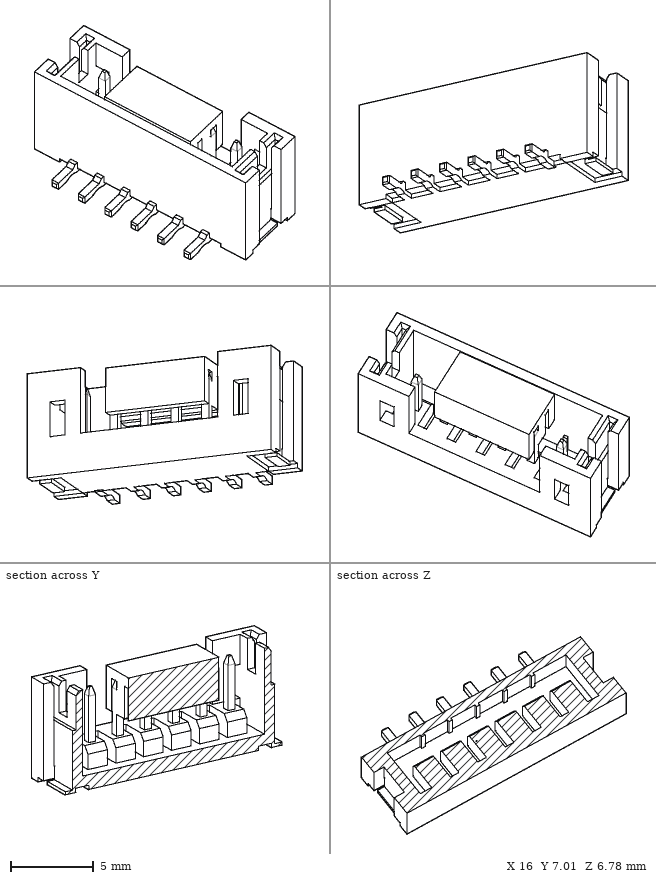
import cadquery as cq


LENGTH = 16.0
DEPTH = 5.0
HEIGHT = 6.6
CAVITY_LENGTH = 13.0
CAVITY_FRONT = 0.65
CAVITY_BACK = 4.22
CAVITY_FLOOR = 1.0
BACK_OPENING = 9.0
BACK_WINDOW_INNER = 5.53
BACK_WINDOW_TOP = 4.65
CUT_MARGIN = 1.0

PIN_COUNT = 6
PITCH = 2.0
PIN_WIDTH = 0.5
POST_FRONT = 2.83
POST_TOP = 6.0
POST_TAPER = 0.52
POST_TIP = 0.2
LOW_PIN_DROP = 0.08
FOOT_INNER = 0.96
FOOT_REACH = 2.01
FOOT_THICKNESS = 0.53
FOOT_ROOT_HEIGHT = 0.77
FOOT_ROOT_LENGTH = 0.24
FOOT_CHAMFER = 0.1
HEEL_CHAMFER = 0.06
ARCH_START = 0.1
ARCH_END = 1.06
ARCH_RISE = 0.15

BLOCK_WIDTH = 1.4
BLOCK_FRONT = 2.2
BLOCK_TOP = 2.45
BLOCK_BEVEL_DEPTH = 0.35
BLOCK_BEVEL_HEIGHT = 0.45
RIB_WIDTH = 0.26
RIB_DEPTH = 0.16

SLOT_CENTER = 7.14
SLOT_WIDTH = 0.26
SLOT_FRONT = 0.7
SLOT_BACK = 4.3
SLOT_FLOOR = 4.1
LEAD_IN_SIDE = 0.2
LEAD_IN_HEIGHT = 0.29
NOTCH_FRONT = 1.39
NOTCH_BACK = 3.59
WINDOW_FRONT = 2.5
WINDOW_BACK = 3.42
WINDOW_SILL = 4.58

RELIEF_HEIGHT = 0.28
RELIEF_FRONT = 0.74
PAD_LENGTH = 12.2
CLIP_OUTER = 7.78
CLIP_THICKNESS = 0.23
CLIP_GAP = 0.05
CLIP_RECESS_HEIGHT = 1.1

CAP_LENGTH = 6.5
CAP_FRONT = 0.75
CAP_BACK = 4.03
CAP_BOTTOM = 3.88
CAP_RISE = 0.1
PIN_CHANNEL_BACK = 3.38
PIN_CHANNEL_TOP = 6.03
FRONT_CHANNEL = (1.5, 1.94)
FRONT_CHANNEL_TOP = 6.0

pin_positions = [(i - (PIN_COUNT - 1) / 2) * PITCH for i in range(PIN_COUNT)]
gap_positions = [x + PITCH / 2 for x in pin_positions[:-1]]
slot_inner = SLOT_CENTER - SLOT_WIDTH / 2
slot_outer = SLOT_CENTER + SLOT_WIDTH / 2


def box(x0, x1, y0, y1, z0, z1):
    """Box between opposite corner coordinates."""
    return cq.Workplane("XY").box(x1 - x0, y1 - y0, z1 - z0, centered=False).translate((x0, y0, z0))


def centered_box(x, width, y0, y1, z0, z1):
    """Box of a given width centred on x."""
    return box(x - width / 2, x + width / 2, y0, y1, z0, z1)


def both_ends(right_shape):
    """The shape at the +X end together with its mirror image at the -X end."""
    return right_shape.union(right_shape.mirror("YZ"))


def make_shell():
    shell = centered_box(0, LENGTH, 0, DEPTH, 0, HEIGHT)
    above = HEIGHT + CUT_MARGIN
    shell = shell.cut(centered_box(0, CAVITY_LENGTH, CAVITY_FRONT, CAVITY_BACK, CAVITY_FLOOR, above))
    return shell.cut(centered_box(0, BACK_OPENING, CAVITY_BACK, DEPTH + CUT_MARGIN, BLOCK_TOP, above))


def make_block(x):
    """Pin block against the back wall, with its top front edge bevelled."""
    profile = [
        (CAVITY_BACK, CAVITY_FLOOR),
        (BLOCK_FRONT, CAVITY_FLOOR),
        (BLOCK_FRONT, BLOCK_TOP - BLOCK_BEVEL_HEIGHT),
        (BLOCK_FRONT + BLOCK_BEVEL_DEPTH, BLOCK_TOP),
        (CAVITY_BACK, BLOCK_TOP),
    ]
    block = cq.Workplane("YZ").polyline(profile).close().extrude(BLOCK_WIDTH / 2, both=True)
    return block.translate((x, 0, 0))


def make_rib(x):
    return centered_box(x, RIB_WIDTH, CAVITY_FRONT, CAVITY_FRONT + RIB_DEPTH, CAVITY_FLOOR, BLOCK_TOP)


def make_clip_slot():
    """Slot in the +X end wall with a flared lead-in at the top."""
    length = SLOT_BACK - SLOT_FRONT
    slot = box(slot_inner, slot_outer, SLOT_FRONT, SLOT_BACK, SLOT_FLOOR, HEIGHT)
    lead_in = (
        cq.Workplane("XY", origin=(SLOT_CENTER, (SLOT_FRONT + SLOT_BACK) / 2, HEIGHT - LEAD_IN_HEIGHT))
        .rect(SLOT_WIDTH, length)
        .workplane(offset=LEAD_IN_HEIGHT)
        .rect(SLOT_WIDTH + 2 * LEAD_IN_SIDE, length + 2 * LEAD_IN_SIDE)
        .loft(ruled=True)
    )
    return slot.union(lead_in)


def make_end_notch():
    """Openings in the +X end: outer notch, ledge and the window into the cavity."""
    outside = LENGTH / 2 + CUT_MARGIN
    above = HEIGHT + CUT_MARGIN
    notch = box(slot_outer, outside, NOTCH_FRONT, NOTCH_BACK, -CUT_MARGIN, above)
    ledge = box(slot_inner, outside, NOTCH_FRONT, NOTCH_BACK, SLOT_FLOOR, above)
    window = box(CAVITY_LENGTH / 2, outside, WINDOW_FRONT, WINDOW_BACK, WINDOW_SILL, above)
    return notch.union(ledge).union(window)


def make_back_window():
    """Rectangular hole through the back wall, in the +X corner of the cavity."""
    return box(
        BACK_WINDOW_INNER,
        CAVITY_LENGTH / 2,
        CAVITY_BACK,
        DEPTH + CUT_MARGIN,
        BLOCK_TOP,
        BACK_WINDOW_TOP,
    )


def make_end_relief():
    """Relief under the +X end, between the corner feet."""
    outside = LENGTH / 2 + CUT_MARGIN
    return box(PAD_LENGTH / 2, outside, RELIEF_FRONT, CAVITY_BACK, -CUT_MARGIN, RELIEF_HEIGHT)


def make_front_relief():
    return centered_box(0, PAD_LENGTH, -CUT_MARGIN, RELIEF_FRONT, -CUT_MARGIN, RELIEF_HEIGHT)


def make_clip():
    """L-shaped solder clip at the +X end: an upright in the wall and a tab under the notch."""
    front = NOTCH_FRONT + CLIP_GAP
    back = NOTCH_BACK - CLIP_GAP
    tab = box(slot_inner, CLIP_OUTER, front, back, 0, CLIP_THICKNESS)
    upright = box(slot_inner, slot_outer, front, back, 0, CLIP_RECESS_HEIGHT)
    return tab.union(upright)


def make_clip_clearance():
    """Recess around the clip upright, one clip gap wider than the clip on each side."""
    return box(slot_inner, slot_outer, NOTCH_FRONT, NOTCH_BACK, 0, CLIP_RECESS_HEIGHT)


def make_foot():
    """Solder foot with a raised root, a small arch below and a chamfered tip."""
    foot = (
        cq.Workplane("YZ")
        .moveTo(FOOT_INNER - HEEL_CHAMFER, 0)
        .lineTo(-ARCH_START, 0)
        .threePointArc((-(ARCH_START + ARCH_END) / 2, ARCH_RISE), (-ARCH_END, 0))
        .lineTo(-FOOT_REACH, 0)
        .lineTo(-FOOT_REACH, FOOT_THICKNESS)
        .lineTo(-FOOT_ROOT_LENGTH - (FOOT_ROOT_HEIGHT - FOOT_THICKNESS), FOOT_THICKNESS)
        .lineTo(-FOOT_ROOT_LENGTH, FOOT_ROOT_HEIGHT)
        .lineTo(FOOT_INNER, FOOT_ROOT_HEIGHT)
        .lineTo(FOOT_INNER, HEEL_CHAMFER)
        .close()
        .extrude(PIN_WIDTH / 2, both=True)
    )
    return foot.faces("<Y").chamfer(FOOT_CHAMFER)


def make_post():
    """Square contact post with a tapered tip."""
    shoulder = POST_TOP - POST_TAPER
    middle = POST_FRONT + PIN_WIDTH / 2
    shaft = centered_box(0, PIN_WIDTH, POST_FRONT, POST_FRONT + PIN_WIDTH, CAVITY_FLOOR, shoulder)
    tip = (
        cq.Workplane("XY", origin=(0, middle, shoulder))
        .rect(PIN_WIDTH, PIN_WIDTH)
        .workplane(offset=POST_TAPER)
        .rect(POST_TIP, POST_TIP)
        .loft(ruled=True)
    )
    return shaft.union(tip)


def make_cap():
    """Flat-topped cap with two channels along X; the rear one sits over the posts."""
    cap = centered_box(0, CAP_LENGTH, CAP_FRONT, CAP_BACK, CAP_BOTTOM, HEIGHT + CAP_RISE)
    below = CAP_BOTTOM - CUT_MARGIN
    cut_length = CAP_LENGTH + 2 * CUT_MARGIN
    cap = cap.cut(centered_box(0, cut_length, POST_FRONT, PIN_CHANNEL_BACK, below, PIN_CHANNEL_TOP))
    return cap.cut(centered_box(0, cut_length, *FRONT_CHANNEL, below, FRONT_CHANNEL_TOP))


housing = make_shell()
for x in pin_positions:
    housing = housing.union(make_block(x))
for x in gap_positions:
    housing = housing.union(make_rib(x))
housing = housing.cut(both_ends(make_clip_slot()))
housing = housing.cut(both_ends(make_end_notch()))
housing = housing.cut(both_ends(make_back_window()))
housing = housing.cut(both_ends(make_end_relief()))
housing = housing.cut(make_front_relief())
housing = housing.cut(both_ends(make_clip_clearance()))

result = housing.union(both_ends(make_clip())).union(make_cap())
foot = make_foot()
post = make_post()
for x in pin_positions:
    drop = LOW_PIN_DROP if x == pin_positions[-1] else 0
    result = result.union(foot.translate((x, 0, -drop)))
    result = result.union(post.translate((x, 0, -drop)))